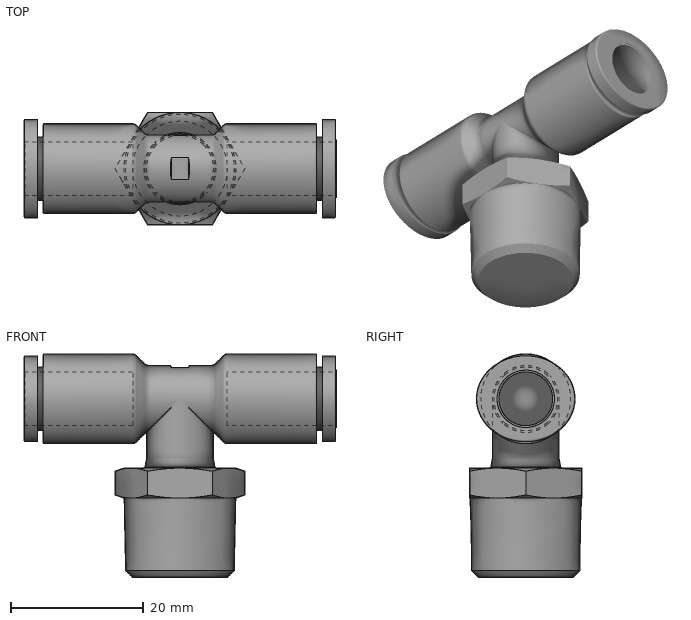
import cadquery as cq
import math


run_height = 27.0
socket_radius = 6.8
socket_end = 20.65
neck_radius = 5.05
cone_start = 5.1
cone_end = cone_start + socket_radius - neck_radius
cone_fillet = 0.85
socket_edge = 0.2

collar_inner = 21.5
collar_outer = 23.55
collar_width = 14.9
collar_height = 13.0
collar_edge = 0.25
collar_neck_radius = 4.8

bore_radius = 4.05
bore_floor = 7.1
lip_radius = 4.35
lip_shift = 0.1

flat_length = 2.55
flat_level = 4.75
flat_top_length = 2.95

stem_radius = neck_radius
flare_radius = 5.3
flare_start = 17.95
foot_chamfer = 0.2
foot_radius = flare_radius + foot_chamfer

hex_flats = 17.0
hex_bottom = 12.0
hex_top = 16.5
hex_chamfer_drop = 0.45
hex_inradius = hex_flats / 2
hex_corner_radius = hex_inradius / math.cos(math.radians(30))

thread_top_radius = 8.45
thread_bottom_radius = 8.2
thread_chamfer = 1.05


def run_disc(radius, start, end):
    """Cylinder on the run axis between two X positions."""
    plane = cq.Workplane("YZ", origin=(start, 0, run_height))
    return plane.circle(radius).extrude(end - start)


def make_socket():
    """Half of the run on the +X side, from the stem axis to the socket mouth."""
    profile = (
        cq.Workplane("XY")
        .polyline([
            (0, 0),
            (0, neck_radius),
            (cone_start, neck_radius),
            (cone_end, socket_radius),
            (socket_end, socket_radius),
            (socket_end, 0),
        ])
        .close()
    )
    socket = profile.revolve(360, (0, 0, 0), (1, 0, 0))
    socket = socket.faces("%CONE").edges("%CIRCLE").fillet(cone_fillet)
    socket = socket.faces(">X").edges().fillet(socket_edge)
    return socket.translate((0, 0, run_height))


def make_collar():
    """Oval release collar and its round neck on the +X side."""
    plate = (
        cq.Workplane("YZ", origin=(collar_inner, 0, run_height))
        .ellipse(collar_width / 2, collar_height / 2)
        .extrude(collar_outer - collar_inner)
        .faces(">X")
        .edges()
        .fillet(collar_edge)
    )
    return plate.union(run_disc(collar_neck_radius, cone_end, collar_inner))


def make_stem():
    """Thread blank, flared foot and round stem up to the run axis."""
    return (
        cq.Workplane("XZ")
        .polyline([
            (0, 0),
            (thread_bottom_radius - thread_chamfer, 0),
            (thread_bottom_radius, thread_chamfer),
            (thread_top_radius, hex_bottom),
            (foot_radius, hex_bottom),
            (foot_radius, hex_top),
            (flare_radius, hex_top + foot_chamfer),
            (stem_radius, flare_start),
            (stem_radius, run_height),
            (0, run_height),
        ])
        .close()
        .revolve(360, (0, 0, 0), (0, 1, 0))
    )


def make_hexagon():
    """Hexagon with corners on the X axis, chamfered at both ends."""
    prism = (
        cq.Workplane("XY", origin=(0, 0, hex_bottom))
        .polygon(6, 2 * hex_corner_radius)
        .extrude(hex_top - hex_bottom)
    )
    envelope = (
        cq.Workplane("XZ")
        .polyline([
            (0, hex_bottom),
            (hex_inradius, hex_bottom),
            (hex_corner_radius, hex_bottom + hex_chamfer_drop),
            (hex_corner_radius, hex_top - hex_chamfer_drop),
            (hex_inradius, hex_top),
            (0, hex_top),
        ])
        .close()
        .revolve(360, (0, 0, 0), (0, 1, 0))
    )
    return prism.intersect(envelope)


def make_marking_flat():
    """Cutter for the flat with sloped ends on top of the neck."""
    half_bottom = flat_length / 2
    half_top = flat_top_length / 2
    rise = neck_radius - flat_level
    return (
        cq.Workplane("XZ", origin=(0, 0, run_height + flat_level))
        .polyline([(-half_bottom, 0), (half_bottom, 0), (half_top, rise), (-half_top, rise)])
        .close()
        .extrude(neck_radius, both=True)
    )


end_half = make_socket().union(make_collar())
run = end_half.union(end_half.mirror("YZ"))

body = run.union(make_stem()).union(make_hexagon()).cut(make_marking_flat())

body = body.union(run_disc(lip_radius, collar_inner, collar_outer + lip_shift))
body = body.cut(run_disc(lip_radius, -collar_outer, lip_shift - collar_outer))

body = body.cut(run_disc(bore_radius, bore_floor, collar_outer + lip_shift))
body = body.cut(run_disc(bore_radius, -collar_outer, -bore_floor))

result = body